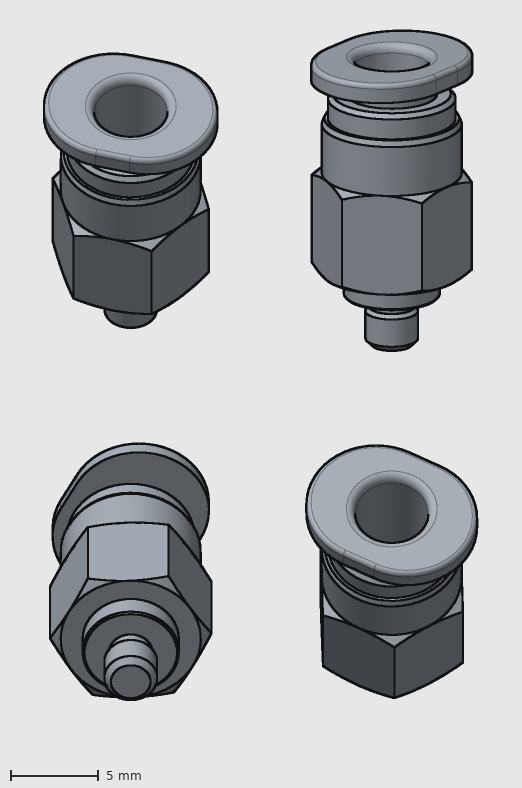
import cadquery as cq
import math

total_height = 17.4
button_length = 10.0
across_flats = 8.0
hex_sides = 6

groove_bottom = 2.28
shoulder_bottom = 3.0
hex_bottom = 4.4
hex_top = 10.39
sleeve_top = 13.7
collar_top = 15.17
button_bottom = 16.29

thread_radius = 1.51
groove_radius = 1.25
shoulder_radius = 2.75
sleeve_radius = across_flats / 2
collar_radius = 3.65
neck_radius = 2.6
bore_radius = 2.09

thread_tip_chamfer = 0.38
thread_top_chamfer = 0.25
shoulder_chamfer = 0.1
hex_chamfer_angle = 30.0
sleeve_chamfer_height = 0.35
sleeve_chamfer_inset = 0.15
collar_chamfer = 0.28
button_fillet = 0.28
neck_fillet = 0.07
bore_mouth_radius = neck_radius - bore_radius

bore_floor = hex_bottom


def cylinder(radius, bottom, top):
    return cq.Workplane("XY").workplane(offset=bottom).circle(radius).extrude(top - bottom)


def make_thread():
    thread = cylinder(thread_radius, 0, groove_bottom)
    thread = thread.faces("<Z").chamfer(thread_tip_chamfer)
    return thread.faces(">Z").chamfer(thread_top_chamfer)


def make_hexagon():
    """Hexagon with corners on X, both ends trimmed by a cone touching the flats."""
    corner_radius = across_flats / 2 / math.cos(math.pi / hex_sides)
    prism = cq.Workplane("XY").workplane(offset=hex_bottom).polygon(hex_sides, 2 * corner_radius)
    prism = prism.extrude(hex_top - hex_bottom)
    corner_drop = (corner_radius - across_flats / 2) * math.tan(math.radians(hex_chamfer_angle))
    envelope = (
        cq.Workplane("XZ")
        .moveTo(0, hex_bottom)
        .lineTo(across_flats / 2, hex_bottom)
        .lineTo(corner_radius, hex_bottom + corner_drop)
        .lineTo(corner_radius, hex_top - corner_drop)
        .lineTo(across_flats / 2, hex_top)
        .lineTo(0, hex_top)
        .close()
        .revolve(360, (0, 0), (0, 1))
    )
    return prism.intersect(envelope)


def make_sleeve():
    """Sleeve above the hexagon, with a steep bevel at its top edge."""
    return (
        cq.Workplane("XZ")
        .moveTo(0, hex_top)
        .lineTo(sleeve_radius, hex_top)
        .lineTo(sleeve_radius, sleeve_top - sleeve_chamfer_height)
        .lineTo(sleeve_radius - sleeve_chamfer_inset, sleeve_top)
        .lineTo(0, sleeve_top)
        .close()
        .revolve(360, (0, 0), (0, 1))
    )


def make_button():
    """Release button: a plate with straight sides and semicircular ends."""
    plate = cq.Workplane("XY").workplane(offset=button_bottom).slot2D(button_length, across_flats)
    return plate.extrude(total_height - button_bottom).faces(">Z").edges().fillet(button_fillet)


def make_neck():
    """Neck that flares in a small fillet into the underside of the button."""
    return (
        cq.Workplane("XZ")
        .moveTo(0, collar_top)
        .lineTo(neck_radius, collar_top)
        .lineTo(neck_radius, button_bottom - neck_fillet)
        .radiusArc((neck_radius + neck_fillet, button_bottom), neck_fillet)
        .lineTo(0, button_bottom)
        .close()
        .revolve(360, (0, 0), (0, 1))
    )


def make_bore():
    """Blind tube socket that flares out in a quarter round at its mouth."""
    return (
        cq.Workplane("XZ")
        .moveTo(0, bore_floor)
        .lineTo(bore_radius, bore_floor)
        .lineTo(bore_radius, total_height - bore_mouth_radius)
        .radiusArc((bore_radius + bore_mouth_radius, total_height), bore_mouth_radius)
        .lineTo(0, total_height)
        .close()
        .revolve(360, (0, 0), (0, 1))
    )


shoulder = cylinder(shoulder_radius, shoulder_bottom, hex_bottom).faces("<Z").chamfer(shoulder_chamfer)
collar = cylinder(collar_radius, sleeve_top, collar_top).faces(">Z").chamfer(collar_chamfer)

result = (
    make_thread()
    .union(cylinder(groove_radius, groove_bottom, shoulder_bottom))
    .union(shoulder)
    .union(make_hexagon())
    .union(make_sleeve())
    .union(collar)
    .union(make_neck())
    .union(make_button())
    .cut(make_bore())
)